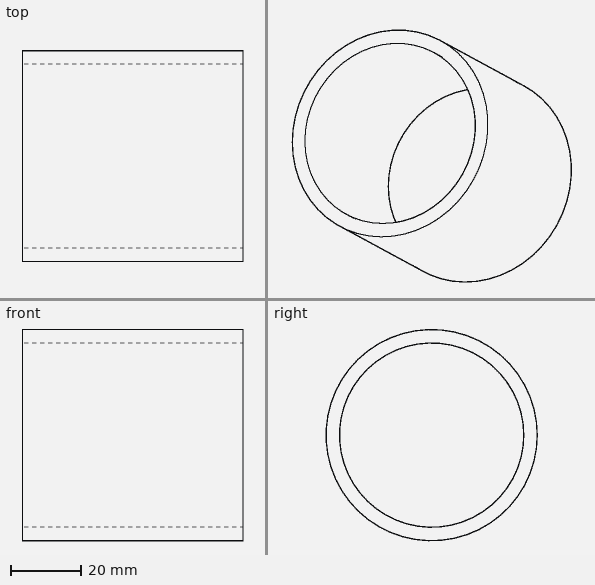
import cadquery as cq

length = 63.0
outer_diameter = 60.3
wall_thickness = 3.9
inner_diameter = outer_diameter - 2 * wall_thickness

result = (
    cq.Workplane("YZ", origin=(-length / 2, 0, 0))
    .circle(outer_diameter / 2)
    .circle(inner_diameter / 2)
    .extrude(length)
)